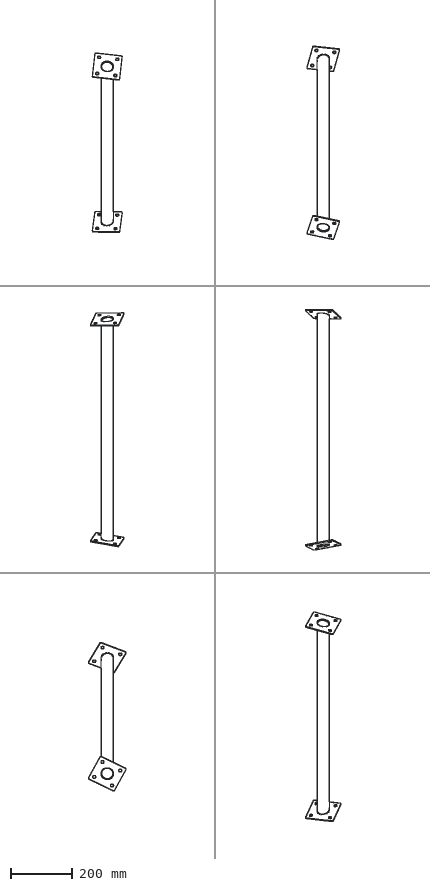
import cadquery as cq

TUBE_OUTER_DIAMETER = 40.0
TUBE_INNER_DIAMETER = 36.0
TUBE_LENGTH = 772.13

PLATE_LENGTH = 95.0
PLATE_WIDTH = 90.0
PLATE_THICKNESS = 4.0
PLATE_CORNER_RADIUS = 3.2
PLATE_TURN = -36.0
PLATE_TILT = 7.0
TUBE_HOLE_DIAMETER = 40.6
BOLT_HOLE_DIAMETER = 10.2
BOLT_HOLE_EDGE_DISTANCE = 15.0
BOLT_PITCH_LONG = PLATE_LENGTH - 2 * BOLT_HOLE_EDGE_DISTANCE
BOLT_PITCH_SHORT = PLATE_WIDTH - 2 * BOLT_HOLE_EDGE_DISTANCE

TUBE_BLANK_LENGTH = TUBE_LENGTH + TUBE_OUTER_DIAMETER
TRIM_BLOCK_SIZE = 2 * TUBE_OUTER_DIAMETER

UPPER_END = 1
LOWER_END = -1
ENDS = (UPPER_END, LOWER_END)


def place_at_end(body, end):
    """Tilt a body standing on the XY plane and set it on the mitre plane of one tube end."""
    placed = body.rotate((0, 0, 0), (0, 1, 0), PLATE_TILT).translate((0, 0, TUBE_LENGTH / 2))
    if end == LOWER_END:
        placed = placed.mirror("XY")
    return placed


def make_tube():
    """Vertical tube, mitred at both ends to meet the inner plate faces."""
    tube = (
        cq.Workplane("XY")
        .circle(TUBE_OUTER_DIAMETER / 2)
        .circle(TUBE_INNER_DIAMETER / 2)
        .extrude(TUBE_BLANK_LENGTH / 2, both=True)
    )
    trim_block = cq.Workplane("XY").rect(TRIM_BLOCK_SIZE, TRIM_BLOCK_SIZE).extrude(TRIM_BLOCK_SIZE)
    for end in ENDS:
        tube = tube.cut(place_at_end(trim_block, end))
    return tube


def make_end_plate(end):
    """Rounded rectangular plate with a central tube hole and a bolt hole near each corner."""
    plate = (
        cq.Workplane("XY")
        .rect(PLATE_LENGTH, PLATE_WIDTH)
        .extrude(PLATE_THICKNESS)
        .edges("|Z")
        .fillet(PLATE_CORNER_RADIUS)
        .faces(">Z")
        .workplane()
        .hole(TUBE_HOLE_DIAMETER)
        .faces(">Z")
        .workplane()
        .rect(BOLT_PITCH_LONG, BOLT_PITCH_SHORT, forConstruction=True)
        .vertices()
        .hole(BOLT_HOLE_DIAMETER)
        .rotate((0, 0, 0), (0, 0, 1), PLATE_TURN)
    )
    return place_at_end(plate, end)


tube = make_tube()
end_plates = [make_end_plate(end) for end in ENDS]

result = cq.Compound.makeCompound([tube.val(), *[plate.val() for plate in end_plates]])